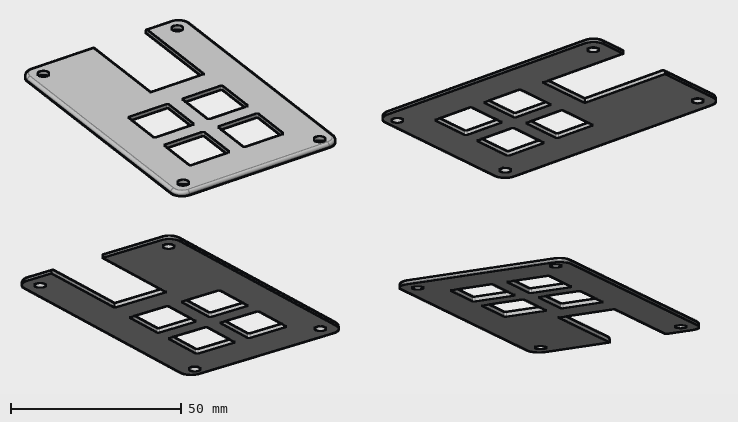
import cadquery as cq

length = 84.4
width = 57.1
thickness = 1.5
corner_radius = 4.0
top_edge_radius = 1.0

hole_diameter = 3.4
hole_y = 23.55
left_hole_x = -37.2
back_right_hole_x = 38.6
front_right_hole_x = -left_hole_x
hole_centers = [
    (left_hole_x, hole_y),
    (left_hole_x, -hole_y),
    (back_right_hole_x, hole_y),
    (front_right_hole_x, -hole_y),
]

key_size = 14.0
key_pitch = 19.0
key_corner_radius = 0.5
key_grid_x = 13.7
keys_per_side = 2

notch_depth = 31.1
notch_width = 18.7
notch_center_y = 6.3


def make_plate():
    """Rounded plate with its top rim filleted and its bottom face at Z = 0."""
    plate = cq.Workplane("XY").box(length, width, thickness, centered=(True, True, False))
    plate = plate.edges("|Z").fillet(corner_radius)
    return plate.faces(">Z").edges().fillet(top_edge_radius)


def make_screw_holes():
    return cq.Workplane("XY").pushPoints(hole_centers).circle(hole_diameter / 2).extrude(thickness)


def make_key_openings():
    return (
        cq.Workplane("XY")
        .center(key_grid_x, 0)
        .rarray(key_pitch, key_pitch, keys_per_side, keys_per_side)
        .rect(key_size, key_size)
        .extrude(thickness)
        .edges("|Z")
        .fillet(key_corner_radius)
    )


def make_notch():
    """Square-cornered block reaching inwards from the left edge."""
    notch_center_x = -length / 2 + notch_depth / 2
    return (
        cq.Workplane("XY")
        .center(notch_center_x, notch_center_y)
        .rect(notch_depth, notch_width)
        .extrude(thickness)
    )


result = make_plate().cut(make_screw_holes()).cut(make_key_openings()).cut(make_notch())